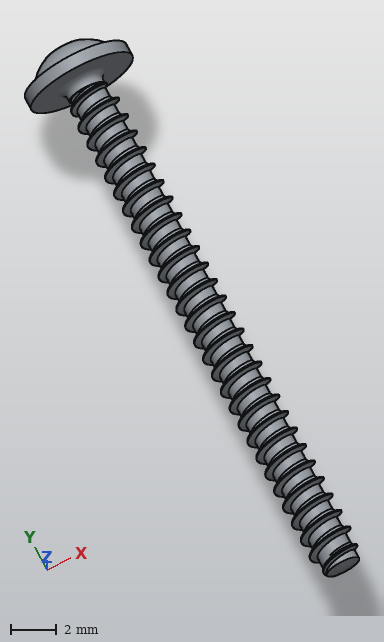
import math

import cadquery as cq


head_height = 1.6
flange_radius = 2.5
flange_height = 0.6
dome_base_radius = 2.05
dome_top_radius = 1.0

shank_length = 25.0
core_radius = 0.8
tip_cone_height = 0.05
core_end = tip_cone_height - shank_length

neck_radius = 0.88
neck_fillet = 0.36
neck_straight = 0.15
neck_end = -neck_fillet - neck_straight

pitch = 0.85
crest_radius = 1.1
crest_half_width = 0.03
knee_radius = 0.88
knee_half_width = 0.1
root_width_tip_side = 0.18
root_width_head_side = 0.36
root_overlap = 0.05
root_radius = core_radius - root_overlap
phase_height = -1.4

tip_runout_start = core_end
tip_runout_length = 0.95
tip_ridge_share = 0.1
head_runout_length = 1.0
head_runout_end = -0.4
head_ridge_share = 0.4
full_thread_start = tip_runout_start + tip_runout_length
full_thread_end = head_runout_end - head_runout_length

thread_section = [
    (root_radius, -root_width_tip_side),
    (knee_radius, -knee_half_width),
    (crest_radius, -crest_half_width),
    (crest_radius, crest_half_width),
    (knee_radius, knee_half_width),
    (root_radius, root_width_head_side),
]


def make_body():
    """Head, neck and plain core as one turned solid."""
    dome_height = head_height - flange_height
    centre_drop = (dome_base_radius**2 - dome_top_radius**2 - dome_height**2) / (2 * dome_height)
    sphere_radius = math.hypot(dome_base_radius, centre_drop)
    dome_mid_height = flange_height + dome_height / 2
    dome_mid_radius = math.sqrt(sphere_radius**2 - (centre_drop + dome_height / 2) ** 2)

    fillet_mid = neck_fillet * (1 - math.sqrt(0.5))
    return (
        cq.Workplane("XZ")
        .moveTo(0, -shank_length)
        .lineTo(core_radius, core_end)
        .lineTo(core_radius, neck_end)
        .lineTo(neck_radius, neck_end)
        .lineTo(neck_radius, -neck_fillet)
        .threePointArc((neck_radius + fillet_mid, -fillet_mid), (neck_radius + neck_fillet, 0))
        .lineTo(flange_radius, 0)
        .lineTo(flange_radius, flange_height)
        .lineTo(dome_base_radius, flange_height)
        .threePointArc((dome_mid_radius, dome_mid_height), (dome_top_radius, head_height))
        .lineTo(0, head_height)
        .close()
        .revolve(360, (0, 0, 0), (0, 1, 0))
        .val()
    )


def helix_edge(start_radius, end_radius, start, length):
    """One helix, starting on the +X side and widening or narrowing evenly along its length."""
    rise = end_radius - start_radius
    origin = cq.Vector(0, 0, start)
    if rise == 0:
        return cq.Wire.makeHelix(pitch, length, start_radius, origin).Edges()[0]
    half_angle = math.atan2(rise, length)
    slant = 1 / math.cos(half_angle)
    helix = cq.Wire.makeHelix(
        pitch * slant, length * slant, start_radius, origin, angle=math.degrees(half_angle)
    )
    return helix.Edges()[0]


def ridge_radius(radius, share):
    """Radius of a section corner when only a share of the ridge stands above the core."""
    if radius <= core_radius:
        return radius
    return core_radius + share * (radius - core_radius)


def make_thread(start, length, start_share, end_share):
    """One stretch of ridge, from one share of its full height above the core to another."""
    helices = [
        helix_edge(
            ridge_radius(radius, start_share), ridge_radius(radius, end_share), start + offset, length
        )
        for radius, offset in thread_section
    ]
    sides = [
        cq.Face.makeRuledSurface(helix, following)
        for helix, following in zip(helices, helices[1:] + helices[:1])
    ]
    caps = [
        cq.Face.makeFromWires(cq.Wire.makePolygon(corners, close=True))
        for corners in (
            [helix.startPoint() for helix in helices],
            [helix.endPoint() for helix in helices],
        )
    ]
    ridge = cq.Solid.makeSolid(cq.Shell.makeShell(sides + caps)).fix()
    start_angle = 360 * (start - phase_height) / pitch
    return ridge.rotate(cq.Vector(0, 0, 0), cq.Vector(0, 0, 1), start_angle)


tip_runout = make_thread(tip_runout_start, tip_runout_length, tip_ridge_share, 1)
full_thread = make_thread(full_thread_start, full_thread_end - full_thread_start, 1, 1)
head_runout = make_thread(full_thread_end, head_runout_length, 1, head_ridge_share)

tip_trim = cq.Solid.makeCylinder(flange_radius, shank_length, cq.Vector(0, 0, core_end))
tip_runout = tip_runout.intersect(tip_trim)

screw = make_body().fuse(tip_runout, full_thread, head_runout)
result = cq.Workplane(screw).rotate((0, 0, 0), (1, 0, 0), -90)